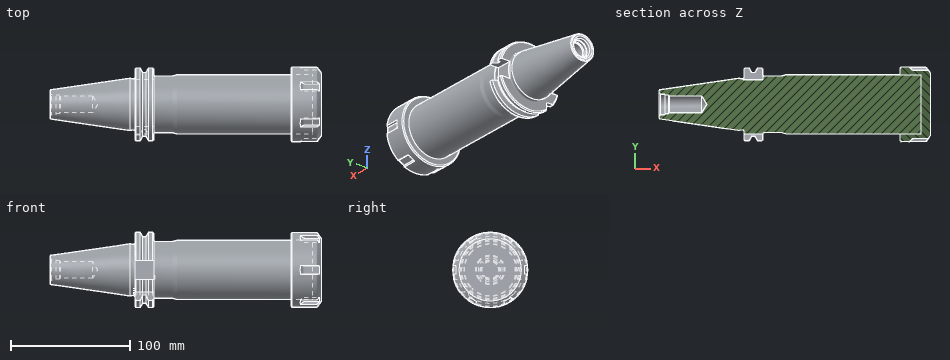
import cadquery as cq
import math


GAUGE_RADIUS = 44.45 / 2
TAPER_LENGTH = 68.25
TAPER_SLOPE = 7 / 48
TAPER_STOP = -0.8
TAPER_END_CHAMFER = 0.7
SMALL_END_RADIUS = GAUGE_RADIUS - TAPER_SLOPE * TAPER_LENGTH
STOP_RADIUS = GAUGE_RADIUS + TAPER_SLOPE * TAPER_STOP

RELIEF_RADIUS = 21.7
RELIEF_START = 0.65
RELIEF_FILLET = 1.0

FLANGE_RADIUS = 63.51 / 2
FLANGE_START = 3.18
FLANGE_END = 19.05
FLANGE_WIDTH = FLANGE_END - FLANGE_START
FLANGE_CHAMFER = 1.0
GROOVE_CENTRE = 11.1
GROOVE_HALF_WIDTH = 3.5
GROOVE_FLOOR_RADIUS = 28.1
GROOVE_FLANK_ANGLE = 30
GROOVE_FLOOR_HALF_WIDTH = GROOVE_HALF_WIDTH - (FLANGE_RADIUS - GROOVE_FLOOR_RADIUS) * math.tan(
    math.radians(GROOVE_FLANK_ANGLE)
)

DRIVE_SLOT_WIDTH = 16.1
DRIVE_SLOT_FLOOR_FRONT = 25.0
DRIVE_SLOT_FLOOR_BACK = 20.9
NOTCH_OFFSET = 18.4
NOTCH_CORNER_RADIUS = 1.0

NECK_RADIUS = 24.0
NECK_FILLET = 1.0
NECK_END = 35.0
SHANK_RADIUS = 25.0
SHANK_START = 38.6

BORE_MOUTH_RADIUS = 10.0
PILOT_RADIUS = 8.5
PILOT_DEPTH = 5.0
THREAD_RADIUS = 7.75
THREAD_DEPTH = 8.0
CORE_RADIUS = 7.0
CORE_DEPTH = 36.0
DRILL_POINT_ANGLE = 118

NUT_RADIUS = 31.5
NUT_START = 134.2
NUT_END = 160.0
NUT_REAR_CHAMFER = 1.0
NUT_FACE_RADIUS = 26.1
NUT_CONE_ANGLE = 55
NUT_EDGE_FILLET = 1.7
NUT_THREAD_DEPTH = 18.0
NUT_CONE_START = NUT_END - (NUT_RADIUS - NUT_FACE_RADIUS) / math.tan(math.radians(NUT_CONE_ANGLE))
NOSE_END = NUT_START + NUT_THREAD_DEPTH

SPANNER_SLOT_COUNT = 6
SPANNER_SLOT_MOUTH_WIDTH = 7.7
SPANNER_SLOT_FLOOR_WIDTH = 6.8
SPANNER_SLOT_FLOOR = 28.7
SPANNER_SLOT_START = 142.0
SPANNER_SLOT_RAMP_ANGLE = 45
SPANNER_SLOT_RAMP_FILLET = 3.0
SPANNER_SLOT_CORNER_RADIUS = 1.0

OVERCUT = 5.0


def revolved(profile):
    """Turn a closed (axial, radial) profile about the X axis."""
    return profile.close().revolve(360, (0, 0, 0), (1, 0, 0))


def flange_groove():
    """Ring that cuts the V groove out of the flange."""
    flank = GROOVE_HALF_WIDTH - GROOVE_FLOOR_HALF_WIDTH
    rise = FLANGE_RADIUS - GROOVE_FLOOR_RADIUS
    outer_half_width = GROOVE_HALF_WIDTH + flank
    outer_radius = FLANGE_RADIUS + rise
    return revolved(
        cq.Workplane("XY")
        .moveTo(GROOVE_CENTRE - GROOVE_FLOOR_HALF_WIDTH, GROOVE_FLOOR_RADIUS)
        .lineTo(GROOVE_CENTRE + GROOVE_FLOOR_HALF_WIDTH, GROOVE_FLOOR_RADIUS)
        .lineTo(GROOVE_CENTRE + outer_half_width, outer_radius)
        .lineTo(GROOVE_CENTRE - outer_half_width, outer_radius)
    )


def drive_slot(side, floor):
    """Slot across the flange, open on the given Y side (-1 or 1)."""
    depth = FLANGE_RADIUS + OVERCUT - floor
    return cq.Workplane("XY").box(FLANGE_WIDTH, depth, DRIVE_SLOT_WIDTH).translate(
        (FLANGE_START + FLANGE_WIDTH / 2, side * (floor + depth / 2), 0)
    )


def orientation_notch():
    """Square notch in the -Y, -Z quarter of the flange, rounded at its inner corner."""
    size = FLANGE_RADIUS
    centre = -(NOTCH_OFFSET + size / 2)
    return (
        cq.Workplane("XY")
        .box(FLANGE_WIDTH, size, size)
        .edges("|X").edges(">(0,1,1)")
        .fillet(NOTCH_CORNER_RADIUS)
        .translate((FLANGE_START + FLANGE_WIDTH / 2, centre, centre))
    )


def retention_bore():
    """Stepped bore with a chamfered mouth and a drill point."""
    mouth_chamfer = BORE_MOUTH_RADIUS - PILOT_RADIUS
    core_chamfer = THREAD_RADIUS - CORE_RADIUS
    point = CORE_RADIUS / math.tan(math.radians(DRILL_POINT_ANGLE / 2))
    return revolved(
        cq.Workplane("XY")
        .moveTo(0, 0)
        .lineTo(0, BORE_MOUTH_RADIUS)
        .lineTo(mouth_chamfer, PILOT_RADIUS)
        .lineTo(PILOT_DEPTH, PILOT_RADIUS)
        .lineTo(PILOT_DEPTH, THREAD_RADIUS)
        .lineTo(THREAD_DEPTH, THREAD_RADIUS)
        .lineTo(THREAD_DEPTH + core_chamfer, CORE_RADIUS)
        .lineTo(CORE_DEPTH, CORE_RADIUS)
        .lineTo(CORE_DEPTH + point, 0)
    ).translate((-TAPER_LENGTH, 0, 0))


def make_holder():
    """Taper, flange and shank turned in one piece, then milled and bored."""
    chamfer_end = TAPER_END_CHAMFER - TAPER_LENGTH
    relief_arc_centre = (FLANGE_START - RELIEF_FILLET, RELIEF_RADIUS + RELIEF_FILLET)
    neck_arc_centre = (FLANGE_END + NECK_FILLET, NECK_RADIUS + NECK_FILLET)
    diagonal = math.sqrt(0.5)
    holder = revolved(
        cq.Workplane("XY")
        .moveTo(-TAPER_LENGTH, 0)
        .lineTo(-TAPER_LENGTH, SMALL_END_RADIUS - TAPER_END_CHAMFER)
        .lineTo(chamfer_end, GAUGE_RADIUS + TAPER_SLOPE * chamfer_end)
        .lineTo(TAPER_STOP, STOP_RADIUS)
        .lineTo(RELIEF_START, RELIEF_RADIUS)
        .lineTo(relief_arc_centre[0], RELIEF_RADIUS)
        .threePointArc(
            (
                relief_arc_centre[0] + RELIEF_FILLET * diagonal,
                relief_arc_centre[1] - RELIEF_FILLET * diagonal,
            ),
            (FLANGE_START, relief_arc_centre[1]),
        )
        .lineTo(FLANGE_START, FLANGE_RADIUS - FLANGE_CHAMFER)
        .lineTo(FLANGE_START + FLANGE_CHAMFER, FLANGE_RADIUS)
        .lineTo(FLANGE_END - FLANGE_CHAMFER, FLANGE_RADIUS)
        .lineTo(FLANGE_END, FLANGE_RADIUS - FLANGE_CHAMFER)
        .lineTo(FLANGE_END, neck_arc_centre[1])
        .threePointArc(
            (
                neck_arc_centre[0] - NECK_FILLET * diagonal,
                neck_arc_centre[1] - NECK_FILLET * diagonal,
            ),
            (neck_arc_centre[0], NECK_RADIUS),
        )
        .lineTo(NECK_END, NECK_RADIUS)
        .lineTo(SHANK_START, SHANK_RADIUS)
        .lineTo(NOSE_END, SHANK_RADIUS)
        .lineTo(NOSE_END, 0)
    )
    return (
        holder.cut(flange_groove())
        .cut(drive_slot(-1, DRIVE_SLOT_FLOOR_FRONT))
        .cut(drive_slot(1, DRIVE_SLOT_FLOOR_BACK))
        .cut(orientation_notch())
        .cut(retention_bore())
    )


def spanner_slot():
    """Cutter for one slot on the -Y side: ramped inner end and flared walls, open at the nut's face."""
    top = NUT_RADIUS + OVERCUT
    ramp = math.tan(math.radians(SPANNER_SLOT_RAMP_ANGLE))
    ramp_foot = SPANNER_SLOT_START + (NUT_RADIUS - SPANNER_SLOT_FLOOR) / ramp
    ramp_top = SPANNER_SLOT_START - OVERCUT / ramp
    open_end = NUT_END + OVERCUT
    side_shape = (
        cq.Workplane("XY")
        .moveTo(ramp_foot, -SPANNER_SLOT_FLOOR)
        .lineTo(open_end, -SPANNER_SLOT_FLOOR)
        .lineTo(open_end, -top)
        .lineTo(ramp_top, -top)
        .close()
        .extrude(SPANNER_SLOT_MOUTH_WIDTH, both=True)
        .edges("|Z").edges(">Y").edges("<X")
        .fillet(SPANNER_SLOT_RAMP_FILLET)
    )
    floor_half_width = SPANNER_SLOT_FLOOR_WIDTH / 2
    mouth_half_width = SPANNER_SLOT_MOUTH_WIDTH / 2
    flare = (mouth_half_width - floor_half_width) / (NUT_RADIUS - SPANNER_SLOT_FLOOR)
    top_half_width = mouth_half_width + flare * OVERCUT
    flared_shape = (
        cq.Workplane("YZ", origin=(SPANNER_SLOT_START, 0, 0))
        .moveTo(-SPANNER_SLOT_FLOOR, -floor_half_width)
        .lineTo(-SPANNER_SLOT_FLOOR, floor_half_width)
        .lineTo(-top, top_half_width)
        .lineTo(-top, -top_half_width)
        .close()
        .extrude(open_end - SPANNER_SLOT_START)
        .faces("<X")
        .edges("not |Z")
        .fillet(SPANNER_SLOT_CORNER_RADIUS)
    )
    return side_shape.intersect(flared_shape)


def make_nut():
    """Nut with a blind recess for the holder's nose and spanner slots around it."""
    cone = math.radians(NUT_CONE_ANGLE)
    tangent = NUT_EDGE_FILLET * math.tan(cone / 2)
    arc_start = NUT_CONE_START - tangent
    arc_centre_radius = NUT_RADIUS - NUT_EDGE_FILLET
    nut = revolved(
        cq.Workplane("XY")
        .moveTo(NUT_START, SHANK_RADIUS)
        .lineTo(NUT_START, NUT_RADIUS - NUT_REAR_CHAMFER)
        .lineTo(NUT_START + NUT_REAR_CHAMFER, NUT_RADIUS)
        .lineTo(arc_start, NUT_RADIUS)
        .threePointArc(
            (
                arc_start + NUT_EDGE_FILLET * math.sin(cone / 2),
                arc_centre_radius + NUT_EDGE_FILLET * math.cos(cone / 2),
            ),
            (
                arc_start + NUT_EDGE_FILLET * math.sin(cone),
                arc_centre_radius + NUT_EDGE_FILLET * math.cos(cone),
            ),
        )
        .lineTo(NUT_END, NUT_FACE_RADIUS)
        .lineTo(NUT_END, 0)
        .lineTo(NOSE_END, 0)
        .lineTo(NOSE_END, SHANK_RADIUS)
    )
    cutter = spanner_slot()
    for index in range(SPANNER_SLOT_COUNT):
        angle = index * 360 / SPANNER_SLOT_COUNT
        nut = nut.cut(cutter.rotate((0, 0, 0), (1, 0, 0), angle))
    return nut


holder = make_holder()
nut = make_nut()
result = cq.Compound.makeCompound([holder.val(), nut.val()])